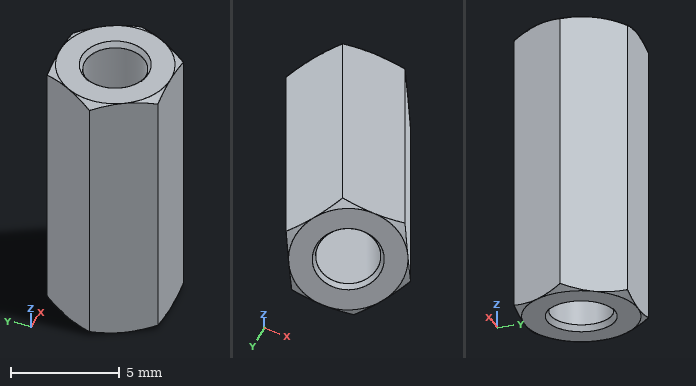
import cadquery as cq
import math

LENGTH = 14.0
ACROSS_FLATS = 5.51
BORE_DIAMETER = 3.0
COUNTERSINK_DIAMETER = 3.32
COUNTERSINK_ANGLE = 60.0
END_CHAMFER_ANGLE = 30.0

ACROSS_CORNERS = ACROSS_FLATS / math.cos(math.pi / 6)
FLAT_RADIUS = ACROSS_FLATS / 2
CORNER_RADIUS = ACROSS_CORNERS / 2
CHAMFER_HEIGHT = (CORNER_RADIUS - FLAT_RADIUS) * math.tan(math.radians(END_CHAMFER_ANGLE))
COUNTERSINK_WIDTH = (COUNTERSINK_DIAMETER - BORE_DIAMETER) / 2
COUNTERSINK_DEPTH = COUNTERSINK_WIDTH / math.tan(math.radians(COUNTERSINK_ANGLE / 2))


def hex_bar():
    """Hexagonal bar along Z, with two corners on the X axis."""
    return cq.Workplane("XY").polygon(6, ACROSS_CORNERS).extrude(LENGTH)


def chamfered_envelope():
    """Round bar with coned ends; it trims the hexagon corners at both ends."""
    return (
        cq.Workplane("XZ")
        .moveTo(0, 0)
        .lineTo(FLAT_RADIUS, 0)
        .lineTo(CORNER_RADIUS, CHAMFER_HEIGHT)
        .lineTo(CORNER_RADIUS, LENGTH - CHAMFER_HEIGHT)
        .lineTo(FLAT_RADIUS, LENGTH)
        .lineTo(0, LENGTH)
        .close()
        .revolve(360, (0, 0), (0, 1))
    )


def countersunk_bore():
    """Through bore with a countersink at each end, as a solid to cut away."""
    bore_radius = BORE_DIAMETER / 2
    countersink_radius = COUNTERSINK_DIAMETER / 2
    return (
        cq.Workplane("XZ")
        .moveTo(0, 0)
        .lineTo(countersink_radius, 0)
        .lineTo(bore_radius, COUNTERSINK_DEPTH)
        .lineTo(bore_radius, LENGTH - COUNTERSINK_DEPTH)
        .lineTo(countersink_radius, LENGTH)
        .lineTo(0, LENGTH)
        .close()
        .revolve(360, (0, 0), (0, 1))
    )


result = hex_bar().intersect(chamfered_envelope()).cut(countersunk_bore())